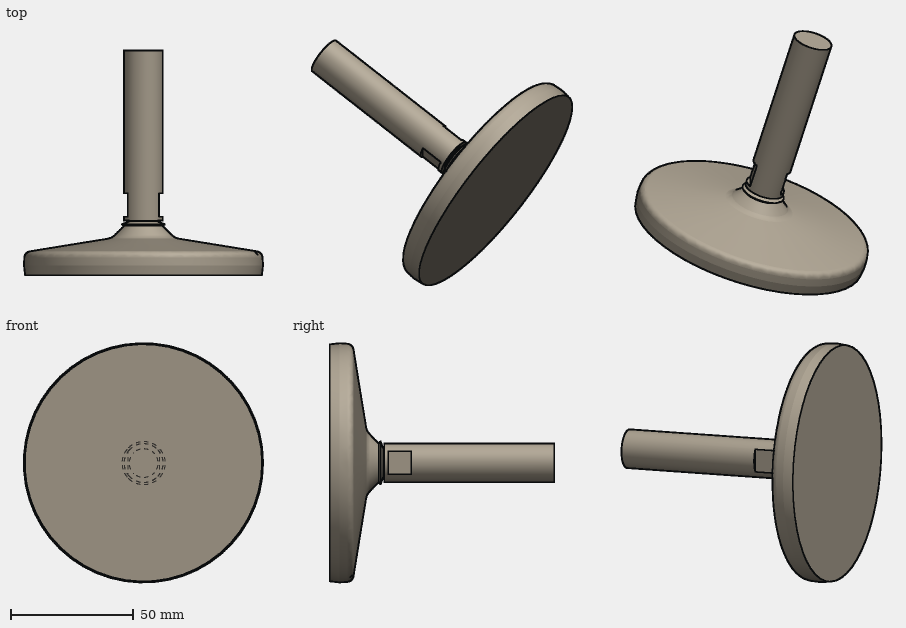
import cadquery as cq
import math

TOTAL_LENGTH = 92.0

FOOT_RADIUS = 49.0
BOTTOM_RADIUS = 48.5
SHOULDER_RADIUS = 48.6
PARTING_HEIGHT = 4.1
SHOULDER_HEIGHT = 9.5
SHOULDER_FILLET = 2.8
HUB_BASE_RADIUS = 12.9
HUB_TOP_RADIUS = 7.9
HUB_TOP_HEIGHT = 20.2
HUB_FILLET = 4.4
HUB_BASE_HEIGHT = 15.3

STEM_RADIUS = 16.0 / 2
STEM_SHOULDER_HEIGHT = 22.3
NECK_RADIUS = 5.9
NECK_HEIGHT = 22.05
COLLAR_RADIUS = 8.8
COLLAR_HEIGHT = 20.9

FLAT_SPACING = 12.9
FLAT_START = 24.0
FLAT_LENGTH = 9.5


def turned(outline):
    """Revolve a (radius, height) outline about the Y axis."""
    return cq.Workplane("XY").polyline(outline).close().revolve(360, (0, 0, 0), (0, 1, 0))


def fillet_ring(body, radius, height, fillet):
    """Round the circular edge of the given radius at the given height."""
    ring = [
        edge for edge in body.edges("%CIRCLE").vals()
        if math.isclose(edge.radius(), radius, abs_tol=0.0001)
        and math.isclose(edge.Center().y, height, abs_tol=0.0001)
    ]
    return body.newObject(ring).fillet(fillet)


def make_foot():
    foot = turned([
        (0, 0),
        (BOTTOM_RADIUS, 0),
        (FOOT_RADIUS, PARTING_HEIGHT),
        (SHOULDER_RADIUS, SHOULDER_HEIGHT),
        (HUB_BASE_RADIUS, HUB_BASE_HEIGHT),
        (HUB_TOP_RADIUS, HUB_TOP_HEIGHT),
        (0, HUB_TOP_HEIGHT),
    ])
    foot = fillet_ring(foot, SHOULDER_RADIUS, SHOULDER_HEIGHT, SHOULDER_FILLET)
    return fillet_ring(foot, HUB_BASE_RADIUS, HUB_BASE_HEIGHT, HUB_FILLET)


def make_stem():
    stem = turned([
        (0, HUB_TOP_HEIGHT),
        (HUB_TOP_RADIUS, HUB_TOP_HEIGHT),
        (COLLAR_RADIUS, COLLAR_HEIGHT),
        (NECK_RADIUS, NECK_HEIGHT),
        (NECK_RADIUS, STEM_SHOULDER_HEIGHT),
        (STEM_RADIUS, STEM_SHOULDER_HEIGHT),
        (STEM_RADIUS, TOTAL_LENGTH),
        (0, TOTAL_LENGTH),
    ])
    cutter_size = 2 * STEM_RADIUS
    cutter_offset = (FLAT_SPACING + cutter_size) / 2
    for side in (-1, 1):
        cutter = cq.Workplane("XY").box(cutter_size, FLAT_LENGTH, cutter_size)
        stem = stem.cut(cutter.translate((side * cutter_offset, FLAT_START + FLAT_LENGTH / 2, 0)))
    return stem


foot = make_foot()
stem = make_stem()

result = cq.Compound.makeCompound([foot.val(), stem.val()])